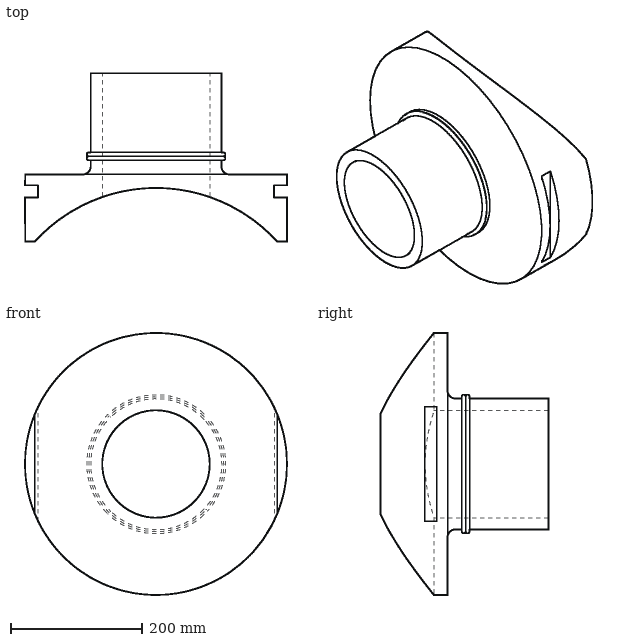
import cadquery as cq
import math

flange_diameter = 400.0
flange_thickness = 102.8
main_pipe_radius = 250.0
saddle_half_width = 185.0

branch_diameter = 200.0
branch_length = 154.2
bore_diameter = 163.6
root_fillet = 12.0

bead_count = 2
bead_width = 6.0
bead_height = 6.0
first_bead_start = 21.4

slot_width = 18.0
slot_depth = 20.0
slot_offset = 17.0

flange_radius = flange_diameter / 2
branch_radius = branch_diameter / 2
total_length = flange_thickness + branch_length

saddle_face_y = -flange_thickness
saddle_axis_drop = math.sqrt(main_pipe_radius**2 - saddle_half_width**2)
main_pipe_axis_y = saddle_face_y - saddle_axis_drop


def make_body():
    """Flange and branch with a concave fillet between them, turned about Y."""
    fillet_centre_x = branch_radius + root_fillet
    diagonal = root_fillet * math.sqrt(0.5)
    fillet_middle = (fillet_centre_x - diagonal, root_fillet - diagonal)
    return (
        cq.Workplane("XY")
        .moveTo(0, saddle_face_y)
        .lineTo(flange_radius, saddle_face_y)
        .lineTo(flange_radius, 0)
        .lineTo(fillet_centre_x, 0)
        .threePointArc(fillet_middle, (branch_radius, root_fillet))
        .lineTo(branch_radius, branch_length)
        .lineTo(0, branch_length)
        .close()
        .revolve(360, (0, 0, 0), (0, 1, 0))
    )


def make_bead(start_y):
    """Ring with flat flanks and a rounded nose, rooted in the branch wall."""
    nose_radius = bead_width / 2
    crest_x = branch_radius + bead_height
    nose_centre_x = crest_x - nose_radius
    root_x = (branch_radius + bore_diameter / 2) / 2
    crest_y = start_y + nose_radius
    end_y = start_y + bead_width
    diagonal = nose_radius * math.sqrt(0.5)
    nose_x = nose_centre_x + diagonal
    return (
        cq.Workplane("XY")
        .moveTo(root_x, start_y)
        .lineTo(nose_centre_x, start_y)
        .threePointArc((nose_x, crest_y - diagonal), (crest_x, crest_y))
        .threePointArc((nose_x, crest_y + diagonal), (nose_centre_x, end_y))
        .lineTo(root_x, end_y)
        .close()
        .revolve(360, (0, 0, 0), (0, 1, 0))
    )


def make_main_pipe_cut():
    """Cylinder along Z that shapes the concave saddle face."""
    return (
        cq.Workplane("XY")
        .center(0, main_pipe_axis_y)
        .circle(main_pipe_radius)
        .extrude(flange_radius, both=True)
    )


def make_bore_cut():
    """Straight bore through the branch and the flange."""
    return (
        cq.Workplane("XZ", origin=(0, branch_length, 0))
        .circle(bore_diameter / 2)
        .extrude(total_length)
    )


def make_slot_cut(side):
    """Straight slot along Z in the flange rim, on the side given by the sign of X."""
    return (
        cq.Workplane("XY")
        .center(side * flange_radius, -slot_offset - slot_width / 2)
        .rect(2 * slot_depth, slot_width)
        .extrude(flange_radius, both=True)
    )


result = make_body()
for index in range(bead_count):
    result = result.union(make_bead(first_bead_start + index * bead_width))
result = result.cut(make_main_pipe_cut()).cut(make_bore_cut())
for side in (-1, 1):
    result = result.cut(make_slot_cut(side))